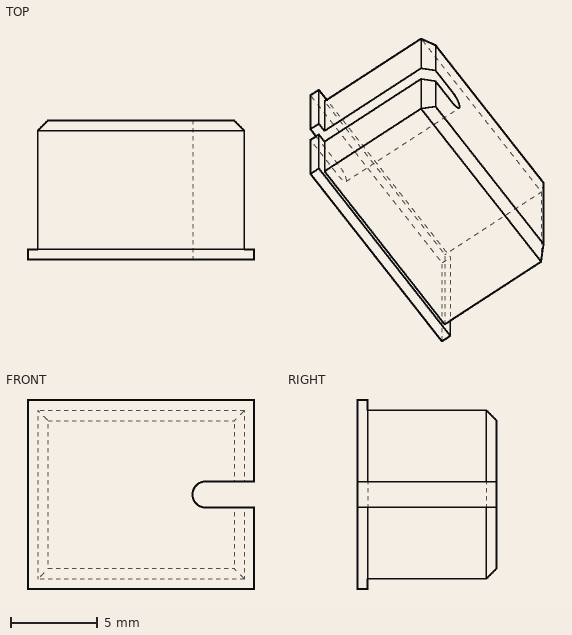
import cadquery as cq

flange_width = 13.15
flange_height = 11.0
flange_thickness = 0.6

total_depth = 8.1
side_overhang = 0.57
end_overhang = 0.6
back_chamfer = 0.6
block_width = flange_width - 2 * side_overhang
block_height = flange_height - 2 * end_overhang
block_depth = total_depth - flange_thickness

slot_height = 1.5
slot_length = 3.58


def make_flange():
    return cq.Workplane("XY").box(
        flange_width, flange_thickness, flange_height, centered=(True, False, True)
    )


def make_block():
    block = cq.Workplane("XY").box(
        block_width, block_depth, block_height, centered=(True, False, True)
    )
    block = block.faces(">Y").chamfer(back_chamfer)
    return block.translate((0, flange_thickness, 0))


def make_slot_cutter():
    radius = slot_height / 2
    open_end = flange_width / 2
    arc_center = open_end - slot_length + radius
    return (
        cq.Workplane("XZ")
        .moveTo(open_end, -radius)
        .lineTo(arc_center, -radius)
        .threePointArc((arc_center - radius, 0), (arc_center, radius))
        .lineTo(open_end, radius)
        .close()
        .extrude(-total_depth)
    )


result = make_flange().union(make_block()).cut(make_slot_cutter())